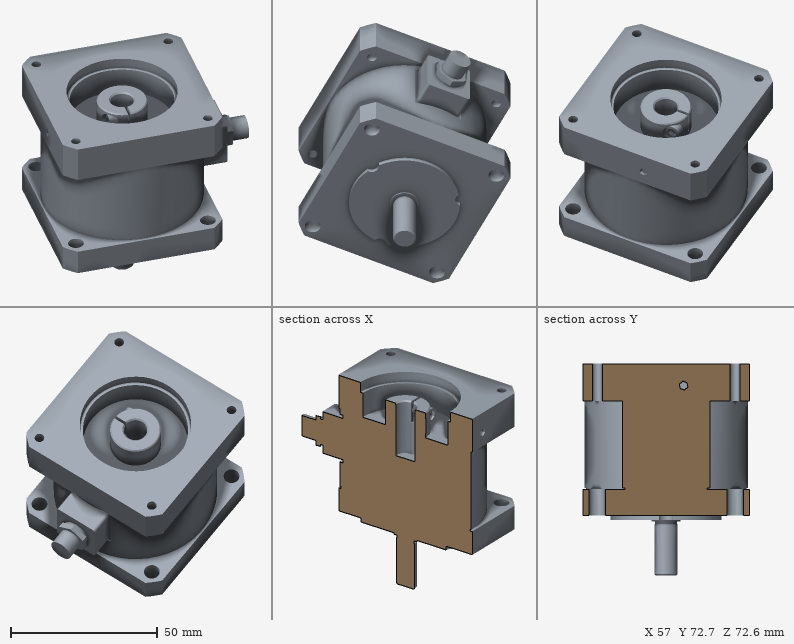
import cadquery as cq
import math


SQUARE = 57.0
CORNER_DIAMETER = 75.0
FLANGE_HEIGHT = 9.0
BODY_HEIGHT = 30.2
ADAPTER_HEIGHT = 12.8
BODY_DIAMETER = 56.0
RELIEF_HEIGHT = 0.4
RELIEF_DIAMETER = 55.0
BODY_TOP = FLANGE_HEIGHT + BODY_HEIGHT
ADAPTER_TOP = BODY_TOP + ADAPTER_HEIGHT
HOLE_PITCH = 47.14
FLANGE_HOLE = 5.4
ADAPTER_HOLE = 3.3

BOSS_DIAMETER = 38.0
BOSS_HEIGHT = 1.5
BOSS_NOTCH = 5.2
BOSS_NOTCH_CIRCLE = 40.0
BOSS_NOTCH_COUNT = 3
BOSS_NOTCH_START = -90.0

SHAFT_DIAMETER = 8.0
SHAFT_LENGTH = 20.6
SHAFT_CHAMFER = 0.5
NECK_DIAMETER = 7.4
NECK_LENGTH = 0.9
COLLAR_DIAMETER = 10.0
COLLAR_HEIGHT = 0.5

PILOT_DIAMETER = 38.1
PILOT_DEPTH = 3.8
CAVITY_DIAMETER = 36.0
CAVITY_DEPTH = 13.0

HUB_DIAMETER = 17.4
HUB_RECESS = 3.5
HUB_CHAMFER = 0.4
BORE_DIAMETER = 8.0
BORE_DEPTH = 20.0
BORE_CHAMFER = 0.5
SLIT_WIDTH = 1.0
SLIT_DEPTH = 8.0

SCREW_X = 5.95
SCREW_Z = ADAPTER_TOP - 7.5
SCREW_HEAD = 5.4
HEAD_COUNTERBORE = 5.88
SCREW_HEAD_LENGTH = 2.9
SCREW_HEAD_END_Y = -6.9
SOCKET_CORNERS = 3.62
SOCKET_DEPTH = 1.5
SCREW_SHANK = 3.0

SET_SCREW_SOCKET_CORNERS = 2.9
SET_SCREW_SOCKET_DEPTH = 5.0
SET_SCREW_SOCKET_ANGLE = -10.0

BOX_SIZE = 16.0
BOX_FILLET = 1.0
BOX_Z = 28.0
BOX_SEAT_Y = 26.6
BOX_END_Y = 35.2
SEAT_HEIGHT = 18.0
WASHER_DIAMETER = 10.0
WASHER_LENGTH = 0.9
NUT_FLATS = 10.0
NUT_LENGTH = 2.1
SPIGOT_DIAMETER = 8.0
SPIGOT_END_Y = 44.2


def disc(diameter, bottom, top):
    return cq.Workplane("XY").workplane(offset=bottom).circle(diameter / 2).extrude(top - bottom)


def rod_along_y(diameter, x, z, start, end):
    plane = cq.Plane(origin=(x, start, z), xDir=(1, 0, 0), normal=(0, 1, 0))
    return cq.Workplane(plane).circle(diameter / 2).extrude(end - start)


def hexagon_along_y(corner_diameter, x, z, start, end):
    """Hexagonal prism with two of its corners on the vertical line through its axis."""
    plane = cq.Plane(origin=(x, start, z), xDir=(0, 0, 1), normal=(0, 1, 0))
    return cq.Workplane(plane).polygon(6, corner_diameter).extrude(end - start)


def square_plate(bottom, top, hole_diameter):
    blank = cq.Workplane("XY").workplane(offset=bottom).rect(SQUARE, SQUARE).extrude(top - bottom)
    blank = blank.intersect(disc(CORNER_DIAMETER, bottom, top))
    holes = (
        cq.Workplane("XY").workplane(offset=bottom)
        .rect(HOLE_PITCH, HOLE_PITCH, forConstruction=True).vertices()
        .circle(hole_diameter / 2).extrude(top - bottom)
    )
    return blank.cut(holes)


def make_body():
    relief_top = FLANGE_HEIGHT + RELIEF_HEIGHT
    body = disc(BODY_DIAMETER, relief_top, BODY_TOP)

    seat_depth = BODY_DIAMETER / 2 - BOX_SEAT_Y
    seat = cq.Workplane("XY").box(BODY_DIAMETER, seat_depth, SEAT_HEIGHT, centered=(True, False, True))
    body = body.cut(seat.translate((0, BOX_SEAT_Y, BOX_Z)))
    return body.union(disc(RELIEF_DIAMETER, FLANGE_HEIGHT, relief_top))


def make_boss():
    boss = disc(BOSS_DIAMETER, -BOSS_HEIGHT, 0)
    for i in range(BOSS_NOTCH_COUNT):
        angle = math.radians(BOSS_NOTCH_START + i * 360 / BOSS_NOTCH_COUNT)
        x = BOSS_NOTCH_CIRCLE / 2 * math.cos(angle)
        y = BOSS_NOTCH_CIRCLE / 2 * math.sin(angle)
        boss = boss.cut(disc(BOSS_NOTCH, -BOSS_HEIGHT, 0).translate((x, y, 0)))
    return boss


def make_shaft():
    collar_bottom = -BOSS_HEIGHT - COLLAR_HEIGHT
    neck_bottom = collar_bottom - NECK_LENGTH
    shaft = disc(SHAFT_DIAMETER, -SHAFT_LENGTH, neck_bottom).faces("<Z").chamfer(SHAFT_CHAMFER)
    shaft = shaft.union(disc(NECK_DIAMETER, neck_bottom, collar_bottom))
    return shaft.union(disc(COLLAR_DIAMETER, collar_bottom, -BOSS_HEIGHT))


def make_recess():
    pilot = disc(PILOT_DIAMETER, ADAPTER_TOP - PILOT_DEPTH, ADAPTER_TOP)
    return pilot.union(disc(CAVITY_DIAMETER, ADAPTER_TOP - CAVITY_DEPTH, ADAPTER_TOP))


def make_hub():
    floor = ADAPTER_TOP - CAVITY_DEPTH
    face = ADAPTER_TOP - HUB_RECESS
    hub = disc(HUB_DIAMETER, floor, face).faces(">Z").chamfer(HUB_CHAMFER)

    slit = cq.Workplane("XY").box(HUB_DIAMETER / 2, SLIT_WIDTH, SLIT_DEPTH, centered=(False, True, False))
    hub = hub.cut(slit.translate((0, 0, face - SLIT_DEPTH)))

    head_start_y = SCREW_HEAD_END_Y + SCREW_HEAD_LENGTH
    counterbore = rod_along_y(HEAD_COUNTERBORE, SCREW_X, SCREW_Z, -HUB_DIAMETER / 2, head_start_y)
    head = rod_along_y(SCREW_HEAD, SCREW_X, SCREW_Z, SCREW_HEAD_END_Y, head_start_y)
    shank = rod_along_y(SCREW_SHANK, SCREW_X, SCREW_Z, head_start_y, SLIT_WIDTH)
    hub = hub.cut(counterbore).union(head).union(shank)
    socket_end_y = SCREW_HEAD_END_Y + SOCKET_DEPTH
    return hub.cut(hexagon_along_y(SOCKET_CORNERS, SCREW_X, SCREW_Z, SCREW_HEAD_END_Y, socket_end_y))


def make_bore():
    face = ADAPTER_TOP - HUB_RECESS
    bore = disc(BORE_DIAMETER, face - BORE_DEPTH, face)
    radius = BORE_DIAMETER / 2
    countersink = cq.Solid.makeCone(
        radius, radius + BORE_CHAMFER, BORE_CHAMFER, pnt=cq.Vector(0, 0, face - BORE_CHAMFER)
    )
    return bore.union(cq.Workplane(countersink))


def make_set_screw_socket():
    face_y = -SQUARE / 2
    end_y = face_y + SET_SCREW_SOCKET_DEPTH
    socket = hexagon_along_y(SET_SCREW_SOCKET_CORNERS, SCREW_X, SCREW_Z, face_y, end_y)
    return socket.rotate((SCREW_X, 0, SCREW_Z), (SCREW_X, 1, SCREW_Z), SET_SCREW_SOCKET_ANGLE)


def make_connector():
    box = cq.Workplane("XY").box(BOX_SIZE, BOX_END_Y - BOX_SEAT_Y, BOX_SIZE, centered=(True, False, True))
    box = box.edges("|Y").fillet(BOX_FILLET).translate((0, BOX_SEAT_Y, BOX_Z))
    nut_start_y = BOX_END_Y + WASHER_LENGTH
    nut_end_y = nut_start_y + NUT_LENGTH
    nut_corners = NUT_FLATS / math.cos(math.pi / 6)
    washer = rod_along_y(WASHER_DIAMETER, 0, BOX_Z, BOX_END_Y, nut_start_y)
    nut = hexagon_along_y(nut_corners, 0, BOX_Z, nut_start_y, nut_end_y)
    spigot = rod_along_y(SPIGOT_DIAMETER, 0, BOX_Z, nut_end_y, SPIGOT_END_Y)
    return box.union(washer).union(nut).union(spigot)



result = (
    square_plate(0, FLANGE_HEIGHT, FLANGE_HOLE)
    .union(make_body())
    .union(square_plate(BODY_TOP, ADAPTER_TOP, ADAPTER_HOLE))
    .cut(make_recess())
    .cut(make_set_screw_socket())
    .union(make_hub())
    .cut(make_bore())
    .union(make_boss())
    .union(make_shaft())
    .union(make_connector())
)